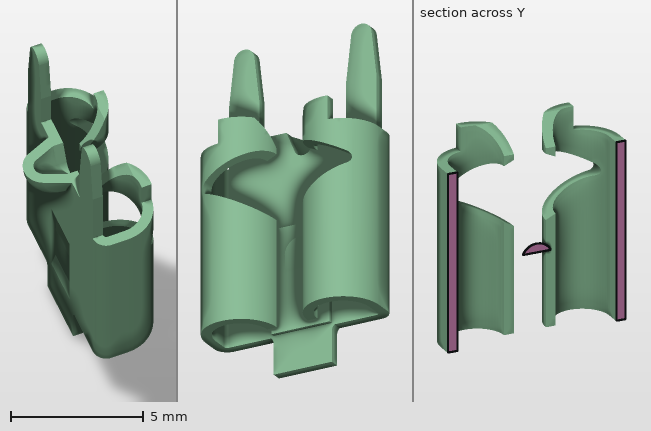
import cadquery as cq
import math

sheet = 0.41
total_height = 13.71
half_width = 3.74
body_bottom = 1.52
body_top = 8.9
web_top = 9.88

bend_radius = 0.55
roll_radius = 1.54
roll_center_y = 1.23
roll_center_x = half_width - roll_radius
roll_back = roll_center_y + roll_radius
ear_start_x = 2.37
ear_slope_back_y = 2.28
notch_z = 7.31
notch_tip_x = 3.22
notch_tip_radius = 0.27
notch_half_angle = math.radians(25)

plate_half_width = half_width - bend_radius
prong_width = 1.32
prong_center = plate_half_width - prong_width / 2
prong_taper_z = 11.43
prong_shoulder_z = 13.34
tip_half_width = 0.44
foot_half_width = 1.26
foot_flare = 0.11
foot_flare_height = 0.25

scoop_half_width = 1.15
scoop_depth = 1.48
scoop_nose_radius = 0.8
scoop_half_angle = math.radians(23)

window_half_width = 0.89
window_bottom = 1.97
window_top = 5.55
pad_half_width = 1.26
pad_margin = pad_half_width - window_half_width
pad_offset = 0.18
floor_bottom = 2.43
ramp_bottom = 4.09
arch_spring_z = 4.76
arch_top = 5.35
ramp_depth = 0.08
ramp_boss_half_width = 0.66


def box_between(x0, x1, y0, y1, z0, z1):
    return cq.Workplane("XY").box(x1 - x0, y1 - y0, z1 - z0, centered=False).translate((x0, y0, z0))


def sheet_plate(outline):
    """Extrude a closed XZ outline back through the sheet."""
    return outline.close().extrude(-sheet)


def mirror_pair(right_side):
    return right_side.union(right_side.mirror("YZ"))


def make_plate():
    return box_between(-plate_half_width, plate_half_width, 0, sheet, body_bottom, web_top)


def make_prong():
    half = prong_width / 2
    outline = (
        cq.Workplane("XZ", origin=(prong_center, 0, 0))
        .moveTo(-half, body_top)
        .lineTo(half, body_top)
        .lineTo(half, prong_taper_z)
        .lineTo(tip_half_width, prong_shoulder_z)
        .threePointArc((0, total_height), (-tip_half_width, prong_shoulder_z))
        .lineTo(-half, prong_taper_z)
    )
    return sheet_plate(outline)


def make_foot():
    flare_radius = (foot_flare**2 + foot_flare_height**2) / (2 * foot_flare)
    flare_z = body_bottom - foot_flare_height
    mid_angle = math.asin(foot_flare_height / flare_radius) / 2
    mid_x = foot_half_width + flare_radius * (1 - math.cos(mid_angle))
    mid_z = flare_z + flare_radius * math.sin(mid_angle)
    end_x = foot_half_width + foot_flare
    outline = (
        cq.Workplane("XZ")
        .moveTo(-foot_half_width, 0)
        .lineTo(foot_half_width, 0)
        .lineTo(foot_half_width, flare_z)
        .threePointArc((mid_x, mid_z), (end_x, body_bottom))
        .lineTo(end_x, body_bottom + sheet)
        .lineTo(-end_x, body_bottom + sheet)
        .lineTo(-end_x, body_bottom)
        .threePointArc((-mid_x, mid_z), (-foot_half_width, flare_z))
    )
    return sheet_plate(outline)


def make_arm_section():
    """Right arm: bend, straight side and half-circle roll, to the web's full height."""
    inner_x = half_width - sheet
    inner_roll = roll_radius - sheet
    inner_bend = bend_radius - sheet
    diagonal = math.sqrt(0.5)
    bend_x = plate_half_width
    return (
        cq.Workplane("XY", origin=(0, 0, body_bottom))
        .moveTo(bend_x, 0)
        .threePointArc(
            (bend_x + bend_radius * diagonal, bend_radius * (1 - diagonal)), (half_width, bend_radius)
        )
        .lineTo(half_width, roll_center_y)
        .threePointArc((roll_center_x, roll_back), (roll_center_x - roll_radius, roll_center_y))
        .lineTo(roll_center_x - inner_roll, roll_center_y)
        .threePointArc((roll_center_x, roll_back - sheet), (inner_x, roll_center_y))
        .lineTo(inner_x, bend_radius)
        .threePointArc((bend_x + inner_bend * diagonal, bend_radius - inner_bend * diagonal), (bend_x, sheet))
        .close()
        .extrude(web_top - body_bottom)
    )


def make_notch():
    """Round-tipped V that opens toward the arm's free edge and passes through the back wall."""
    tip_center_x = notch_tip_x - notch_tip_radius
    tangent_x = tip_center_x + notch_tip_radius * math.sin(notch_half_angle)
    tangent_rise = notch_tip_radius * math.cos(notch_half_angle)
    mouth_rise = tangent_rise + tangent_x * math.tan(notch_half_angle)
    return (
        cq.Workplane("XZ", origin=(0, roll_center_y, notch_z))
        .moveTo(0, -mouth_rise)
        .lineTo(tangent_x, -tangent_rise)
        .threePointArc((notch_tip_x, 0), (tangent_x, tangent_rise))
        .lineTo(0, mouth_rise)
        .close()
        .extrude(-roll_radius)
    )


def make_arm():
    ear_slope = (
        cq.Workplane("YZ")
        .polyline([(0, body_top), (roll_center_y, body_top), (ear_slope_back_y, web_top), (0, web_top)])
        .close()
        .extrude(ear_start_x)
    )
    beyond_ear = box_between(ear_start_x, half_width, 0, roll_back, body_top, web_top)
    return make_arm_section().cut(ear_slope).cut(beyond_ear).cut(make_notch())


def scoop_profile(plane, inset):
    """Rounded V on the web's upper front edge, shrunk inward by the given inset."""
    base_x = scoop_half_width - inset / math.cos(scoop_half_angle)
    nose_radius = scoop_nose_radius - inset
    nose_drop = scoop_depth - scoop_nose_radius
    tangent_x = nose_radius * math.cos(scoop_half_angle)
    tangent_drop = nose_drop + nose_radius * math.sin(scoop_half_angle)
    return (
        cq.Workplane(plane, origin=(0, 0, web_top))
        .moveTo(-base_x, 0)
        .lineTo(-tangent_x, -tangent_drop)
        .threePointArc((0, -nose_drop - nose_radius), (tangent_x, -tangent_drop))
        .lineTo(base_x, 0)
        .close()
    )


def scoop_solid(inset):
    return scoop_profile("XY", inset).revolve(90, (0, 0, 0), (1, 0, 0))


def make_scoop_cavity():
    through_sheet = scoop_profile("XZ", sheet).extrude(-sheet)
    return scoop_solid(sheet).union(through_sheet)


def pad_prism(points, half):
    return cq.Workplane("YZ", origin=(-half, 0, 0)).polyline(points).close().extrude(2 * half)


def make_ramp(front_y, half):
    """Wedge that deepens upward from the ramp crease and ends in an arch."""
    back_y = front_y + ramp_depth
    wedge = pad_prism(
        [(0, ramp_bottom), (front_y, ramp_bottom), (back_y, arch_top), (0, arch_top)], half
    )
    arch = (
        cq.Workplane("XZ")
        .moveTo(-half, ramp_bottom)
        .lineTo(half, ramp_bottom)
        .lineTo(half, arch_spring_z)
        .threePointArc((0, arch_top), (-half, arch_spring_z))
        .close()
        .extrude(-back_y)
    )
    return wedge.intersect(arch)


def make_pad():
    back_y = sheet + pad_offset
    pad = box_between(
        -pad_half_width, pad_half_width, 0, back_y, window_bottom - pad_margin, window_top + pad_margin
    )
    return pad.union(make_ramp(back_y, ramp_boss_half_width))


def make_window():
    recess = pad_prism(
        [(0, window_bottom), (pad_offset, floor_bottom), (pad_offset, window_top), (0, window_top)],
        window_half_width,
    )
    return recess.union(make_ramp(pad_offset, window_half_width))


result = (
    make_plate()
    .union(mirror_pair(make_prong()))
    .union(mirror_pair(make_arm()))
    .union(make_foot())
    .union(scoop_solid(0))
    .cut(make_scoop_cavity())
    .union(make_pad())
    .cut(make_window())
)